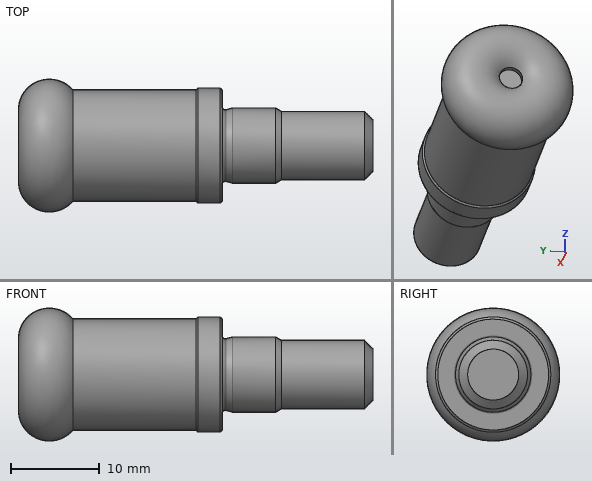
import cadquery as cq
import math


ring_outer_radius = 7.5
ring_tube_radius = 3.5
ring_centre_radius = ring_outer_radius - ring_tube_radius
ring_centre_x = ring_tube_radius

spigot_radius = 1.33
body_radius = 12.6 / 2
flange_radius = 13.0 / 2
relief_radius = 8.1 / 2
seat_radius = 8.5 / 2
shank_radius = 7.75 / 2

spigot_start_x = 1.8
flange_start_x = 20.0
flange_end_x = 23.0
seat_end_x = 29.0
stud_end_x = 40.0

flange_chamfer = 0.25
relief_fillet = 0.3
relief_floor_end_x = 23.4
relief_angle = math.radians(15)
seat_taper_angle = math.radians(30)
end_chamfer = 1.0


def tube_half_width(radius):
    """Axial distance from the ring's mid-plane to its surface at a radius."""
    return math.sqrt(ring_tube_radius**2 - (radius - ring_centre_radius) ** 2)


body_start_x = ring_centre_x + tube_half_width(body_radius)
bore_mouth_x = ring_centre_x - tube_half_width(spigot_radius)


def turned(profile):
    """Revolve a closed XY profile a full turn about the X axis."""
    return profile.close().revolve(360, (0, 0, 0), (1, 0, 0))


def make_ring():
    """Rounded ring with a flared mouth, a bore for the spigot and a flat back."""
    profile = (
        cq.Workplane("XY")
        .moveTo(body_start_x, spigot_radius)
        .lineTo(bore_mouth_x, spigot_radius)
        .threePointArc((ring_centre_x, ring_outer_radius), (body_start_x, body_radius))
    )
    return turned(profile)


def make_stud():
    """Stepped stud: spigot, body, flange, relief groove, seat and shank."""
    relief_end_x = relief_floor_end_x + (seat_radius - relief_radius) / math.tan(relief_angle)
    shank_start_x = seat_end_x + (seat_radius - shank_radius) / math.tan(seat_taper_angle)
    flange_front_x = flange_start_x + flange_chamfer
    fillet_mid = relief_fillet * (1 - math.sqrt(0.5))
    profile = (
        cq.Workplane("XY")
        .moveTo(spigot_start_x, 0)
        .lineTo(spigot_start_x, spigot_radius)
        .lineTo(body_start_x, spigot_radius)
        .lineTo(body_start_x, body_radius)
        .lineTo(flange_front_x - (flange_radius - body_radius), body_radius)
        .lineTo(flange_front_x, flange_radius)
        .lineTo(flange_end_x - flange_chamfer, flange_radius)
        .lineTo(flange_end_x, flange_radius - flange_chamfer)
        .lineTo(flange_end_x, relief_radius + relief_fillet)
        .threePointArc(
            (flange_end_x + fillet_mid, relief_radius + fillet_mid),
            (flange_end_x + relief_fillet, relief_radius),
        )
        .lineTo(relief_floor_end_x, relief_radius)
        .lineTo(relief_end_x, seat_radius)
        .lineTo(seat_end_x, seat_radius)
        .lineTo(shank_start_x, shank_radius)
        .lineTo(stud_end_x - end_chamfer, shank_radius)
        .lineTo(stud_end_x, shank_radius - end_chamfer)
        .lineTo(stud_end_x, 0)
    )
    return turned(profile)


ring = make_ring()
stud = make_stud()

result = cq.Compound.makeCompound([ring.val(), stud.val()])